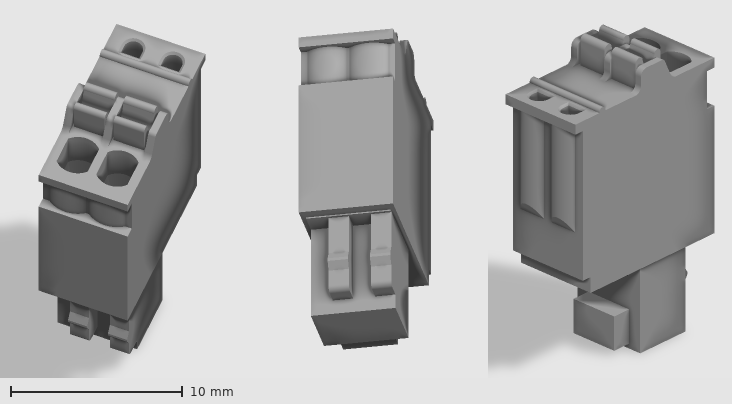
import cadquery as cq
import math


pitch = 2.5
pole_centers = [-pitch / 2, pitch / 2]

housing_width = 5.6
housing_bottom = 5.75
housing_back = 11.12
foot_back = 10.46
foot_top = 6.78
deck_top = 17.25
flange_bottom = 16.59
flange_back = 11.75

recess_bottom = 14.1
recess_depth = 0.63

funnel_y = 2.19
funnel_radius = 1.3
funnel_half_width = 0.98
funnel_floor_radius = 0.73
funnel_taper_depth = 1.35
funnel_shaft_depth = 2.3
front_barrel_radius = 1.94

test_y = 10.52
test_offset_x = 0.02
test_radius = 0.71
test_flat_y = 9.93
test_chamfer = 0.13
test_floor = 11.52
rear_barrel_radius = 1.11
rear_barrel_bottom = 9.72
rear_barrel_slope_top = 10.56

bead_y = 9.47
bead_radius = 0.25
bead_height = 0.29

wall_top = 18.74
wall_back = 6.2
wall_top_front = 4.26
wall_bottom_front = 3.57
wall_fillet = 0.46
wall_top_front_fillet = 0.25
wall_width = 0.46
wall_centers = [-(housing_width - wall_width) / 2, -0.08, (housing_width - wall_width) / 2]

lever_width = 1.94
lever_centers = [center - 0.04 for center in pole_centers]
lever_top = 19.2
lever_back = 6.09
lever_front = 4.0
back_prong_front = 5.5
back_prong_peak_y = 5.75
front_prong_back = 4.5
front_prong_peak_y = 4.25
valley_angle = 75.0
valley_fillet = 0.3

plug_width = 5.03
plug_front = 2.13
plug_back = 5.97
lip_front = 0.71
lip_thickness = 0.08

key_width = 1.2
key_front = 0.9
key_bottom = 0.88
key_fillet = 0.33
ridge_z = 2.78
ridge_height = 0.29
ridge_base = 1.15
ridge_crest = 0.17

rear_key_width = 3.26
rear_key_back = 7.24
rear_key_bottom = 0.33
rear_key_top = 2.57
gusset_back = 7.07
gusset_bottom = 4.75


def block(x_range, y_range, z_range):
    """Box between the given limits."""
    size = [high - low for low, high in (x_range, y_range, z_range)]
    return cq.Workplane("XY").box(*size, centered=False).translate((x_range[0], y_range[0], z_range[0]))


def centered_range(center, width):
    return (center - width / 2, center + width / 2)


def side_sketch(center_x, width):
    """YZ workplane on the low-X side of a slice of the given width."""
    return cq.Workplane("YZ", origin=(center_x - width / 2, 0, 0))


def housing():
    outline = [
        (0, housing_bottom),
        (foot_back, housing_bottom),
        (foot_back, foot_top),
        (housing_back, foot_top),
        (housing_back, flange_bottom),
        (flange_back, flange_bottom),
        (flange_back, deck_top),
        (0, deck_top),
        (0, flange_bottom),
        (recess_depth, flange_bottom),
        (recess_depth, recess_bottom),
        (0, recess_bottom),
    ]
    return side_sketch(0, housing_width).polyline(outline).close().extrude(housing_width)


def front_barrel(center_x):
    """Round bulge in the front recess."""
    height = flange_bottom - recess_bottom
    cylinder = (
        cq.Workplane("XY", origin=(center_x, funnel_y, recess_bottom))
        .circle(front_barrel_radius)
        .extrude(height)
    )
    recess = block(
        centered_range(center_x, 2 * front_barrel_radius),
        (0, recess_depth),
        (recess_bottom, flange_bottom),
    )
    return cylinder.intersect(recess)


def rear_barrel(center_x):
    """Round bulge on the back with a sloped lower end."""
    barrel_back = test_y + rear_barrel_radius
    cylinder = (
        cq.Workplane("XY", origin=(center_x, test_y, rear_barrel_bottom))
        .circle(rear_barrel_radius)
        .extrude(flange_bottom - rear_barrel_bottom)
    )
    outline = [
        (test_y, rear_barrel_bottom),
        (housing_back, rear_barrel_bottom),
        (barrel_back, rear_barrel_slope_top),
        (barrel_back, flange_bottom),
        (test_y, flange_bottom),
    ]
    width = 2 * rear_barrel_radius
    return cylinder.intersect(side_sketch(center_x, width).polyline(outline).close().extrude(width))


def add_dome(sketch, start_y, peak, end_y):
    """Go over a rounded crest with a quarter circle up to the peak and another down from it."""
    peak_y, peak_z = peak

    def shoulder(side_y):
        return side_y, peak_z - abs(peak_y - side_y)

    def arc_middle(side_y):
        reach = math.sqrt(0.5) * (peak_y - side_y)
        return peak_y - reach, peak_z - abs(peak_y - side_y) + abs(reach)

    return (
        sketch.lineTo(*shoulder(start_y))
        .threePointArc(arc_middle(start_y), peak)
        .threePointArc(arc_middle(end_y), shoulder(end_y))
    )


def bead():
    front = bead_y - bead_radius
    back = bead_y + bead_radius
    sketch = side_sketch(0, housing_width).moveTo(front, deck_top)
    sketch = add_dome(sketch, front, (bead_y, deck_top + bead_height), back)
    return sketch.lineTo(back, deck_top).close().extrude(housing_width)


def fillet_corner(body, center_x, corner, radius):
    """Round the edge along X whose middle passes through the given (Y, Z) corner."""
    nearest = cq.selectors.NearestToPointSelector((center_x, *corner))
    return body.edges("|X").edges(nearest).fillet(radius)


def guard_wall(center_x):
    """Wall with a steep back, a sloped front and rounded corners, blending into the deck."""
    run_out = 2 * wall_fillet
    outline = [
        (wall_back + run_out, flange_bottom),
        (wall_back + run_out, deck_top),
        (wall_back, deck_top),
        (wall_back, wall_top),
        (wall_top_front, wall_top),
        (wall_bottom_front, deck_top),
        (wall_bottom_front - run_out, deck_top),
        (wall_bottom_front - run_out, flange_bottom),
    ]
    wall = side_sketch(center_x, wall_width).polyline(outline).close().extrude(wall_width)

    wall = fillet_corner(wall, center_x, (wall_back, deck_top), wall_fillet)
    wall = fillet_corner(wall, center_x, (wall_back, wall_top), wall_fillet)
    wall = fillet_corner(wall, center_x, (wall_top_front, wall_top), wall_top_front_fillet)
    return fillet_corner(wall, center_x, (wall_bottom_front, deck_top), wall_fillet)


def lever(center_x):
    """Two round-topped prongs with a rounded V-shaped valley between them."""
    valley_y = (back_prong_front + front_prong_back) / 2
    valley_half_width = (back_prong_front - front_prong_back) / 2
    valley_depth = valley_half_width * math.tan(math.radians(valley_angle))
    valley_z = lever_top - (front_prong_back - front_prong_peak_y) - valley_depth
    sketch = side_sketch(center_x, lever_width).moveTo(lever_front, flange_bottom)
    sketch = add_dome(sketch, lever_front, (front_prong_peak_y, lever_top), front_prong_back)
    sketch = sketch.lineTo(valley_y, valley_z)
    sketch = add_dome(sketch, back_prong_front, (back_prong_peak_y, lever_top), lever_back)
    body = sketch.lineTo(lever_back, flange_bottom).close().extrude(lever_width)
    return fillet_corner(body, center_x, (valley_y, valley_z), valley_fillet)


def funnel_mouth(workplane):
    """Circle cut off by a flat on each side."""
    half_height = math.sqrt(funnel_radius**2 - funnel_half_width**2)
    return (
        workplane.moveTo(-funnel_half_width, -half_height)
        .threePointArc((0, -funnel_radius), (funnel_half_width, -half_height))
        .lineTo(funnel_half_width, half_height)
        .threePointArc((0, funnel_radius), (-funnel_half_width, half_height))
        .close()
    )


def funnel_floor(workplane):
    """Circle split into four arcs, one for each side of the mouth."""
    radius = funnel_floor_radius
    corner = radius * math.sqrt(0.5)
    return (
        workplane.moveTo(-corner, -corner)
        .threePointArc((0, -radius), (corner, -corner))
        .threePointArc((radius, 0), (corner, corner))
        .threePointArc((0, radius), (-corner, corner))
        .threePointArc((-radius, 0), (-corner, -corner))
        .close()
    )


def funnel(center_x):
    """Flat-sided round shaft that narrows to a smaller round floor at its lower end."""
    shaft_bottom = cq.Workplane("XY", origin=(center_x, funnel_y, deck_top - funnel_shaft_depth))
    shaft = funnel_mouth(shaft_bottom).extrude(funnel_shaft_depth)
    taper = funnel_floor(funnel_mouth(shaft_bottom).workplane(offset=-funnel_taper_depth)).loft(ruled=True)
    return shaft.union(taper)


def test_hole(center_x):
    """D-shaped hole with a chamfered rim."""
    def outline(workplane, inset):
        radius = test_radius - inset
        flat = test_flat_y - test_y + inset
        return (
            workplane.moveTo(-radius, flat)
            .lineTo(radius, flat)
            .lineTo(radius, 0)
            .threePointArc((0, radius), (-radius, 0))
            .close()
        )

    chamfer_bottom = deck_top - test_chamfer
    shaft = outline(cq.Workplane("XY", origin=(center_x, test_y, test_floor)), test_chamfer)
    shaft = shaft.extrude(chamfer_bottom - test_floor)
    rim = outline(cq.Workplane("XY", origin=(center_x, test_y, chamfer_bottom)), test_chamfer)
    rim = outline(rim.workplane(offset=test_chamfer), 0).loft(ruled=True)
    return shaft.union(rim)


def plug():
    x_range = centered_range(0, plug_width)
    body = block(x_range, (plug_front, plug_back), (0, housing_bottom))
    lip = block(x_range, (lip_front, plug_front), (housing_bottom - lip_thickness, housing_bottom))
    return body.union(lip)


def front_key(right_x):
    """Key on the plug front with a snap ridge and a rounded lower edge."""
    center_x = right_x - key_width / 2
    key = block((right_x - key_width, right_x), (key_front, plug_front), (key_bottom, housing_bottom))
    key = key.edges("|X and <Y and <Z").fillet(key_fillet)
    ridge_outline = [
        (key_front, ridge_z - ridge_base / 2),
        (key_front, ridge_z + ridge_base / 2),
        (key_front - ridge_height, ridge_z + ridge_crest / 2),
        (key_front - ridge_height, ridge_z - ridge_crest / 2),
    ]
    ridge = side_sketch(center_x, key_width).polyline(ridge_outline).close().extrude(key_width)
    return key.union(ridge)


def rear_key():
    x_range = centered_range(0, rear_key_width)
    return block(x_range, (plug_back, rear_key_back), (rear_key_bottom, rear_key_top))


def gusset():
    """Triangular brace between the plug back and the housing bottom."""
    outline = [
        (plug_back, gusset_bottom),
        (gusset_back, housing_bottom),
        (plug_back, housing_bottom),
    ]
    return side_sketch(0, rear_key_width).polyline(outline).close().extrude(rear_key_width)


result = housing().union(plug()).union(rear_key()).union(gusset()).union(bead())

for pole_x in pole_centers:
    result = result.union(front_barrel(pole_x)).union(rear_barrel(pole_x))

for key_right in (0, plug_width / 2):
    result = result.union(front_key(key_right))

for wall_x in wall_centers:
    result = result.union(guard_wall(wall_x))

for lever_x in lever_centers:
    result = result.union(lever(lever_x))

for pole_x in pole_centers:
    result = result.cut(funnel(pole_x)).cut(test_hole(pole_x + test_offset_x))